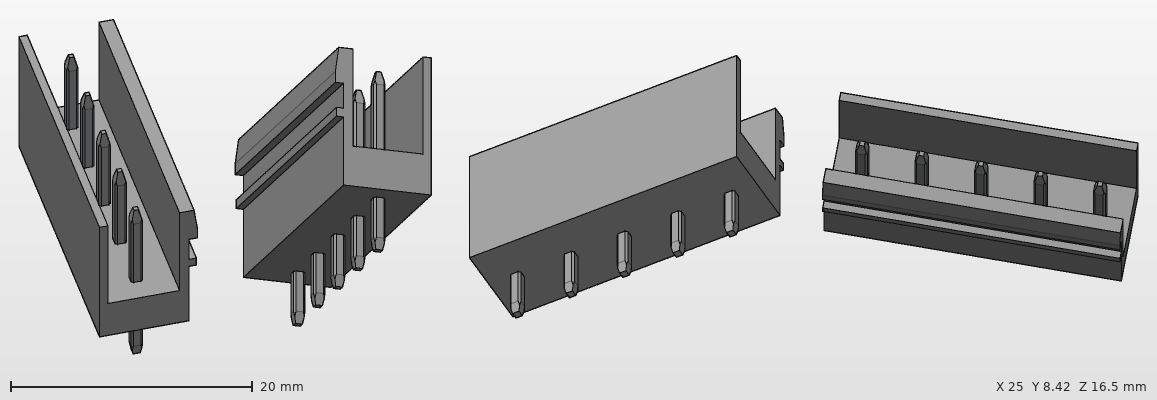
import cadquery as cq

PIN_COUNT = 5
PIN_PITCH = 5.0
HOUSING_LENGTH = PIN_COUNT * PIN_PITCH
HOUSING_DEPTH = 7.7
HOUSING_HEIGHT = 12.0
FLOOR_THICKNESS = 3.5
FRONT_WALL = 0.72
BACK_WALL = 0.82

LATCH_REACH = 0.72
LATCH_HEIGHT = 3.1
LATCH_UPRIGHT_HEIGHT = 0.95
LATCH_TOP_REACH = 0.42

RIB_REACH = 0.62
RIB_HEIGHT = 0.78
RIB_TOP_DROP = 5.28

PIN_WIDTH = 1.0
PIN_CHAMFER = 0.18
PIN_CENTRE_Y = 3.8
PIN_TOP_DROP = 0.9
PIN_TAIL = 4.5
UPPER_TAPER = 1.22
UPPER_TIP_WIDTH = 0.4
LOWER_TAPER = 1.0
LOWER_TIP_WIDTH = 0.6

PIN_TOP = HOUSING_HEIGHT - PIN_TOP_DROP
PIN_BOTTOM = -PIN_TAIL
PIN_POSITIONS = [((i - (PIN_COUNT - 1) / 2) * PIN_PITCH, PIN_CENTRE_Y) for i in range(PIN_COUNT)]


def extrude_along_length(points):
    """Extrude a closed (y, z) outline over the housing length, centred on X = 0."""
    return cq.Workplane("YZ").polyline(points).close().extrude(HOUSING_LENGTH / 2, both=True)


def make_channel():
    cavity_front = FRONT_WALL
    cavity_back = HOUSING_DEPTH - BACK_WALL
    return extrude_along_length([
        (0, 0),
        (HOUSING_DEPTH, 0),
        (HOUSING_DEPTH, HOUSING_HEIGHT),
        (cavity_back, HOUSING_HEIGHT),
        (cavity_back, FLOOR_THICKNESS),
        (cavity_front, FLOOR_THICKNESS),
        (cavity_front, HOUSING_HEIGHT),
        (0, HOUSING_HEIGHT),
    ])


def make_latch():
    latch_bottom = HOUSING_HEIGHT - LATCH_HEIGHT
    return extrude_along_length([
        (HOUSING_DEPTH, latch_bottom),
        (HOUSING_DEPTH + LATCH_REACH, latch_bottom),
        (HOUSING_DEPTH + LATCH_REACH, latch_bottom + LATCH_UPRIGHT_HEIGHT),
        (HOUSING_DEPTH + LATCH_TOP_REACH, HOUSING_HEIGHT),
        (HOUSING_DEPTH, HOUSING_HEIGHT),
    ])


def make_rib():
    rib_top = HOUSING_HEIGHT - RIB_TOP_DROP
    return extrude_along_length([
        (HOUSING_DEPTH, rib_top - RIB_HEIGHT),
        (HOUSING_DEPTH + RIB_REACH, rib_top - RIB_HEIGHT),
        (HOUSING_DEPTH + RIB_REACH, rib_top),
        (HOUSING_DEPTH, rib_top),
    ])


def make_bar(bottom, top):
    """Square bar with chamfered long edges, standing on the Z axis."""
    return (
        cq.Workplane("XY")
        .workplane(offset=bottom)
        .rect(PIN_WIDTH, PIN_WIDTH)
        .extrude(top - bottom)
        .edges("|Z")
        .chamfer(PIN_CHAMFER)
    )


def make_taper(base, tip, tip_width):
    """Square frustum narrowing from the full pin width at z = base to the tip."""
    return (
        cq.Workplane("XY")
        .workplane(offset=base)
        .rect(PIN_WIDTH, PIN_WIDTH)
        .workplane(offset=tip - base)
        .rect(tip_width, tip_width)
        .loft(ruled=True)
    )


def make_pin():
    shank_bottom = PIN_BOTTOM + LOWER_TAPER
    shank_top = PIN_TOP - UPPER_TAPER
    envelope = (
        cq.Workplane("XY")
        .workplane(offset=shank_bottom)
        .rect(PIN_WIDTH, PIN_WIDTH)
        .extrude(shank_top - shank_bottom)
        .union(make_taper(shank_top, PIN_TOP, UPPER_TIP_WIDTH))
        .union(make_taper(shank_bottom, PIN_BOTTOM, LOWER_TIP_WIDTH))
    )
    return make_bar(PIN_BOTTOM, PIN_TOP).intersect(envelope)


def make_housing():
    pin_hole = make_bar(0, FLOOR_THICKNESS)
    housing = make_channel().union(make_latch()).union(make_rib())
    for x, y in PIN_POSITIONS:
        housing = housing.cut(pin_hole.translate((x, y, 0)))
    return housing


housing = make_housing()
pin = make_pin()
pins = [pin.translate((x, y, 0)) for x, y in PIN_POSITIONS]

result = cq.Compound.makeCompound([housing.val(), *[p.val() for p in pins]])